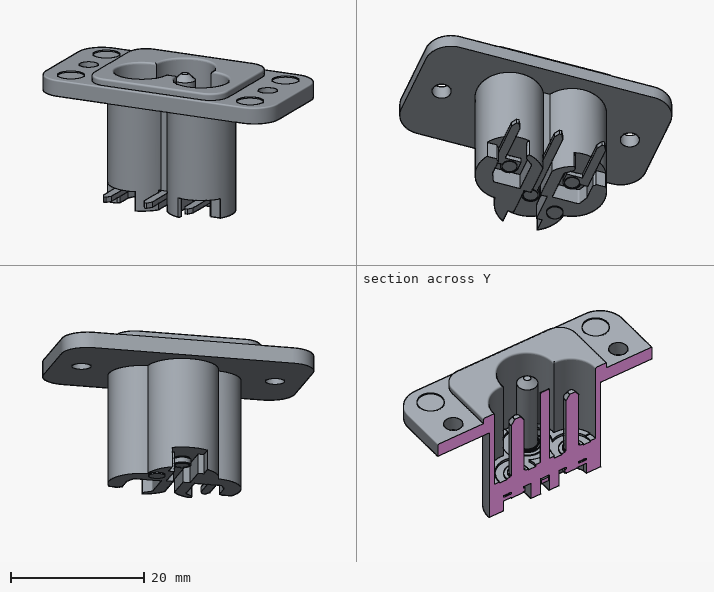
import cadquery as cq
import math


FLANGE_LENGTH = 39.0
FLANGE_WIDTH = 19.0
FLANGE_TOP = 2.5
FLANGE_CORNER = 4.0
FLANGE_EDGE = 0.25

COLLAR_LENGTH = 22.5
COLLAR_WIDTH = 17.5
COLLAR_TOP = 3.5
COLLAR_CORNER = 3.0
COLLAR_EDGE = 0.3

SCREW_X = 15.0
SCREW_DIAMETER = 2.9
MARK_Y = 6.0
MARK_DIAMETER = 4.1
MARK_DEPTH = 0.2

EARTH_Y = 2.25
POWER_X = 5.0
POWER_Y = -2.25
EARTH_CENTER = (0, EARTH_Y)
POWER_CENTERS = [(-POWER_X, POWER_Y), (POWER_X, POWER_Y)]

SHELL_BOTTOM = -17.0
EARTH_SHELL_RADIUS = 5.5
POWER_SHELL_RADIUS = 5.2
SHELL_WEB_WIDTH = 1.05
SHELL_WEB_FRONT = -4.88

FLOOR = -10.53
EARTH_CAVITY_RADIUS = 4.6
POWER_CAVITY_RADIUS = 4.17
CAVITY_EDGE = 0.3
EARTH_RECESS_RADIUS = 3.82
POWER_RECESS_RADIUS = 3.28
RECESS_DEPTH = 0.4
KEY_WIDTH = 2.0
KEY_DEPTH = 0.2

EARTH_PIN = (1.6, 2.5, (2.55, 2.0, 1.75))
POWER_PIN = (1.2, 0.5, (2.0, 1.4))
PIN_TIP_RADIUS = 0.55
PIN_CONE_LENGTH = 0.98
FOOT_STEP = 0.2
RIVET_RADIUS = 1.15
RIVET_HEIGHT = 0.1

TERMINAL_TOP = -14.2
TERMINAL_THICKNESS = 0.8
TERMINAL_BOTTOM = TERMINAL_TOP - TERMINAL_THICKNESS
TERMINAL_WIDTH = 1.35
TERMINAL_TIP_WIDTH = 0.35
TERMINAL_TAPER = 0.9
TERMINAL_END = -11.08
PRONG_X = 6.82
PAD_RADIUS = 1.35

POCKET_TOP = -13.95
POCKET_OUTER_X = 7.53
POCKET_INNER_X = 3.82
POCKET_WIDE_X = 2.57
POCKET_BACK = -0.2
POCKET_BEVEL_WIDTH = 0.7
POCKET_BEVEL_DEPTH = 1.55
POCKET_ROUNDING = 0.35
SHELF_OUTER_X = 9.45
SHELF_Y = -4.85
LIP_Y = -6.47
LIP_WIDE_Y = -5.4
LIP_RADIUS = 0.35
LIP_ARC_START = -6.9
EARTH_NOTCH_WIDTH = 5.45
EARTH_NOTCH_FRONT = 4.8
EARTH_POCKET_WIDTH = 3.65
EARTH_POCKET_FRONT = 0.0
EARTH_SLOT_WIDTH = 1.5
CLEAR = 11.7

BOTTOM_PAD_CENTER = (3.98, 2.6)
BOTTOM_PAD_RADIUS = 1.25
BOTTOM_PAD_HEIGHT = 0.2


def cylinder(center, radius, bottom, top):
    return cq.Workplane("XY", origin=(*center, bottom)).circle(radius).extrude(top - bottom)


def block(x_min, x_max, y_min, y_max, bottom, top):
    corner = cq.Workplane("XY", origin=(x_min, y_min, bottom))
    return corner.rect(x_max - x_min, y_max - y_min, centered=False).extrude(top - bottom)


def three_lobes(earth_radius, power_radius, bottom, top):
    lobes = cylinder(EARTH_CENTER, earth_radius, bottom, top)
    for center in POWER_CENTERS:
        lobes = lobes.union(cylinder(center, power_radius, bottom, top))
    return lobes


def both_sides(left):
    return left.union(left.mirror("YZ"))


def rounded_plate(length, width, corner, edge, bottom, top):
    plate = cq.Workplane("XY", origin=(0, 0, bottom)).rect(length, width).extrude(top - bottom)
    return plate.edges("|Z").fillet(corner).faces(">Z").edges().fillet(edge)


def flange_with_collar():
    flange = rounded_plate(FLANGE_LENGTH, FLANGE_WIDTH, FLANGE_CORNER, FLANGE_EDGE, 0, FLANGE_TOP)
    collar = rounded_plate(COLLAR_LENGTH, COLLAR_WIDTH, COLLAR_CORNER, COLLAR_EDGE, 0, COLLAR_TOP)
    plate = flange.union(collar)
    for x in (-SCREW_X, SCREW_X):
        plate = plate.cut(cylinder((x, 0), SCREW_DIAMETER / 2, 0, FLANGE_TOP))
        for y in (-MARK_Y, MARK_Y):
            plate = plate.cut(cylinder((x, y), MARK_DIAMETER / 2, FLANGE_TOP - MARK_DEPTH, FLANGE_TOP))
    return plate


def shell():
    lobes = three_lobes(EARTH_SHELL_RADIUS, POWER_SHELL_RADIUS, SHELL_BOTTOM, 0)
    web_half = SHELL_WEB_WIDTH / 2
    web = block(-web_half, web_half, SHELL_WEB_FRONT, 0, SHELL_BOTTOM, 0)
    pad_bottom = SHELL_BOTTOM - BOTTOM_PAD_HEIGHT
    return lobes.union(web).union(cylinder(BOTTOM_PAD_CENTER, BOTTOM_PAD_RADIUS, pad_bottom, SHELL_BOTTOM))


def cavity():
    lobes = three_lobes(EARTH_CAVITY_RADIUS, POWER_CAVITY_RADIUS, FLOOR, COLLAR_TOP)
    return lobes.union(block(-POWER_X, POWER_X, POWER_Y, 0, FLOOR, COLLAR_TOP))


def floor_recesses():
    recess = three_lobes(EARTH_RECESS_RADIUS, POWER_RECESS_RADIUS, FLOOR - RECESS_DEPTH, FLOOR)
    key_bottom = FLOOR - KEY_DEPTH
    half = KEY_WIDTH / 2
    earth_key = block(-half, half, EARTH_Y, EARTH_Y + EARTH_CAVITY_RADIUS, key_bottom, FLOOR)
    cavity_end = -POWER_X - POWER_CAVITY_RADIUS
    power_key = block(cavity_end, -POWER_X, POWER_Y - half, POWER_Y + half, key_bottom, FLOOR)
    keys = earth_key.union(both_sides(power_key)).intersect(cavity().translate((0, 0, -KEY_DEPTH)))
    return recess.union(keys)


def pin(center, size):
    radius, tip, foot_radii = size
    shoulder = tip - PIN_CONE_LENGTH
    rivet_bottom = TERMINAL_BOTTOM - RIVET_HEIGHT
    profile = [(0, rivet_bottom), (RIVET_RADIUS, rivet_bottom), (RIVET_RADIUS, POCKET_TOP)]
    profile.append((foot_radii[0], POCKET_TOP))
    height = FLOOR - RECESS_DEPTH
    for foot_radius in foot_radii:
        profile.append((foot_radius, height))
        height += FOOT_STEP
        profile.append((foot_radius, height))
    profile += [(radius, height), (radius, shoulder), (PIN_TIP_RADIUS, tip), (0, tip)]
    turned = cq.Workplane("XZ").polyline(profile).close().revolve(360, (0, 0, 0), (0, 1, 0))
    return turned.translate((*center, 0))


def prong(x, start_y):
    half = TERMINAL_WIDTH / 2
    tip_half = TERMINAL_TIP_WIDTH / 2
    taper_y = TERMINAL_END + TERMINAL_TAPER
    outline = [
        (x - half, start_y),
        (x - half, taper_y),
        (x - tip_half, TERMINAL_END),
        (x + tip_half, TERMINAL_END),
        (x + half, taper_y),
        (x + half, start_y),
    ]
    start = cq.Workplane("XY", origin=(0, 0, TERMINAL_BOTTOM))
    return start.polyline(outline).close().extrude(TERMINAL_THICKNESS)


def terminals():
    earth = prong(0, EARTH_Y).union(cylinder(EARTH_CENTER, PAD_RADIUS, TERMINAL_BOTTOM, TERMINAL_TOP))
    pad_front = POWER_Y - PAD_RADIUS
    plate = block(-PRONG_X, -POWER_X + PAD_RADIUS, pad_front, POWER_Y, TERMINAL_BOTTOM, TERMINAL_TOP)
    power = prong(-PRONG_X, POWER_Y).union(plate)
    power = power.union(cylinder(POWER_CENTERS[0], PAD_RADIUS, TERMINAL_BOTTOM, TERMINAL_TOP))
    return earth.union(both_sides(power))


def power_pocket():
    lip_end = (-POCKET_INNER_X + LIP_RADIUS, LIP_ARC_START - LIP_RADIUS)
    lip_sag = LIP_RADIUS * (1 - math.sqrt(0.5))
    lip_middle = (-POCKET_INNER_X + lip_sag, LIP_ARC_START - LIP_RADIUS * math.sqrt(0.5))
    plan = (
        cq.Workplane("XY", origin=(0, 0, SHELL_BOTTOM))
        .moveTo(-SHELF_OUTER_X, -CLEAR)
        .lineTo(lip_end[0], -CLEAR)
        .lineTo(*lip_end)
        .threePointArc(lip_middle, (-POCKET_INNER_X, LIP_ARC_START))
        .lineTo(-POCKET_INNER_X, LIP_Y)
        .lineTo(-POCKET_WIDE_X, LIP_WIDE_Y)
        .lineTo(-POCKET_WIDE_X, POCKET_BACK)
        .lineTo(-POCKET_OUTER_X + POCKET_BEVEL_WIDTH, POCKET_BACK)
        .lineTo(-POCKET_OUTER_X, POCKET_BACK - POCKET_BEVEL_DEPTH)
        .lineTo(-POCKET_OUTER_X, SHELF_Y + LIP_RADIUS)
        .radiusArc((-POCKET_OUTER_X - LIP_RADIUS, SHELF_Y), -LIP_RADIUS)
        .lineTo(-SHELF_OUTER_X, SHELF_Y)
        .close()
    )
    pocket = plan.extrude(POCKET_TOP - SHELL_BOTTOM)
    rounded_corners = [
        (-POCKET_INNER_X, LIP_Y),
        (-POCKET_WIDE_X, LIP_WIDE_Y),
        (-POCKET_OUTER_X + POCKET_BEVEL_WIDTH, POCKET_BACK),
    ]
    for x, y in rounded_corners:
        corner = cq.selectors.NearestToPointSelector((x, y, (SHELL_BOTTOM + POCKET_TOP) / 2))
        pocket = pocket.edges("|Z").edges(corner).fillet(POCKET_ROUNDING)
    return pocket


def earth_pocket():
    steps = [
        (EARTH_NOTCH_WIDTH, EARTH_NOTCH_FRONT),
        (EARTH_POCKET_WIDTH, EARTH_POCKET_FRONT),
        (EARTH_SLOT_WIDTH, -CLEAR),
    ]
    pocket = cq.Workplane("XY")
    for width, front in steps:
        pocket = pocket.union(block(-width / 2, width / 2, front, CLEAR, SHELL_BOTTOM, POCKET_TOP))
    return pocket


housing = flange_with_collar().union(shell()).cut(cavity())
rim_half_length = COLLAR_LENGTH / 2 - 2 * COLLAR_EDGE
rim_half_width = COLLAR_WIDTH / 2 - 2 * COLLAR_EDGE
cavity_rim = cq.selectors.BoxSelector(
    (-rim_half_length, -rim_half_width, COLLAR_TOP - CAVITY_EDGE / 2),
    (rim_half_length, rim_half_width, COLLAR_TOP + CAVITY_EDGE / 2),
)
housing = housing.edges(cavity_rim).fillet(CAVITY_EDGE)
housing = housing.cut(floor_recesses()).cut(both_sides(power_pocket())).cut(earth_pocket())

result = housing.union(terminals()).union(pin(EARTH_CENTER, EARTH_PIN))
for power_center in POWER_CENTERS:
    result = result.union(pin(power_center, POWER_PIN))